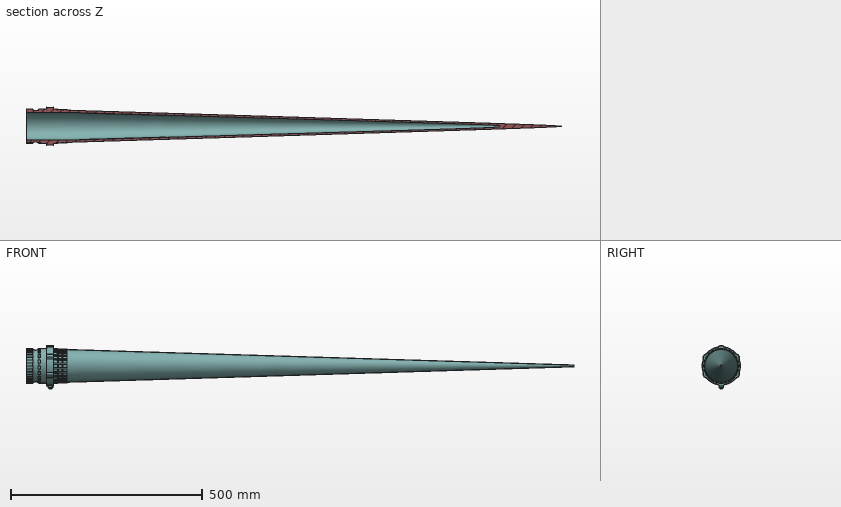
import cadquery as cq
import math


length = 1434.0
socket_radius = 36.0
socket_depth = 109.0
bore_end = 1362.0
cone_start_radius = 43.0
tip_radius = 5.0 / 2

collar_radius = 92.0 / 2
crown_length = 16.0
groove_end = 33.0
groove_floor_radius = 42.0
flute_count = 18
flute_length = 37.0
flute_floor_radius = 43.7

nut_start = 53.0
nut_end = 72.0
nut_radius = 50.0
lug_count = 6
lug_radius = 53.0
lug_base_width = 22.0
lug_top_width = 7.0
lug_root_radius = 47.0
button_radius = 6.5
button_taper = 5.0
button_reach = 60.0
button_x = 63.0

tooth_radius = 89.0 / 2
tooth_count = 24
tooth_sweep = 10.0
tooth_ring_count = 3
tooth_ring_gap = 3.0
tooth_ring_pitch = (socket_depth - nut_end) / tooth_ring_count


def point_on_circle(radius, angle):
    """Point in the YZ plane; the angle is in degrees from +Y towards +Z."""
    turn = math.radians(angle)
    return radius * math.cos(turn), radius * math.sin(turn)


def ring_sector(start, end, inner_radius, outer_radius, middle_angle, sweep):
    """Block between two radii and two X positions, filling `sweep` degrees around the X axis."""
    first = middle_angle - sweep / 2
    last = middle_angle + sweep / 2
    return (
        cq.Workplane("YZ", origin=(start, 0, 0))
        .moveTo(*point_on_circle(inner_radius, first))
        .lineTo(*point_on_circle(outer_radius, first))
        .threePointArc(point_on_circle(outer_radius, middle_angle), point_on_circle(outer_radius, last))
        .lineTo(*point_on_circle(inner_radius, last))
        .threePointArc(point_on_circle(inner_radius, middle_angle), point_on_circle(inner_radius, first))
        .close()
        .extrude(end - start)
    )


def make_body():
    """Revolved outline of the crown, collar, nut ring, grip core and taper, with the blind bore."""
    groove_middle = (crown_length + groove_end) / 2
    return (
        cq.Workplane("XZ")
        .moveTo(0, socket_radius)
        .lineTo(0, collar_radius)
        .lineTo(crown_length, collar_radius)
        .threePointArc((groove_middle, groove_floor_radius), (groove_end, collar_radius))
        .lineTo(nut_start, collar_radius)
        .lineTo(nut_start, nut_radius)
        .lineTo(nut_end, nut_radius)
        .lineTo(nut_end, cone_start_radius)
        .lineTo(socket_depth, cone_start_radius)
        .lineTo(length, tip_radius)
        .lineTo(length, 0)
        .lineTo(bore_end, 0)
        .lineTo(socket_depth, socket_radius)
        .close()
        .revolve(360, (0, 0, 0), (1, 0, 0))
    )


def cut_flutes(body):
    pitch = 360 / flute_count
    flutes = cq.Workplane("YZ")
    for index in range(flute_count):
        angle = (index + 0.25) * pitch
        flutes = flutes.add(
            ring_sector(0, flute_length, flute_floor_radius, nut_radius, angle, pitch / 2)
        )
    return body.cut(flutes.combine())


def add_lugs(body):
    lug = (
        cq.Workplane("YZ", origin=(nut_start, 0, 0))
        .moveTo(-lug_base_width / 2, lug_root_radius)
        .lineTo(lug_base_width / 2, lug_root_radius)
        .lineTo(lug_top_width / 2, lug_radius)
        .lineTo(-lug_top_width / 2, lug_radius)
        .close()
        .extrude(nut_end - nut_start)
    )
    for index in range(lug_count):
        body = body.union(lug.rotate((0, 0, 0), (1, 0, 0), index * 360 / lug_count))
    return body


def add_button(body):
    height = button_reach - lug_root_radius
    button = (
        cq.Workplane("XY", origin=(button_x, 0, -button_reach))
        .circle(button_radius)
        .extrude(height)
        .faces("<Z")
        .chamfer(button_taper)
    )
    return body.union(button)


def add_grip_teeth(body):
    pitch = 360 / tooth_count
    inner_radius = (socket_radius + cone_start_radius) / 2
    teeth = cq.Workplane("YZ")
    for ring in range(tooth_ring_count):
        start = nut_end + ring * tooth_ring_pitch
        end = start + tooth_ring_pitch - tooth_ring_gap
        radius = collar_radius if ring == 0 else tooth_radius
        for index in range(tooth_count):
            teeth = teeth.add(
                ring_sector(start, end, inner_radius, radius, index * pitch, tooth_sweep)
            )
    return body.union(teeth.combine())


result = add_grip_teeth(add_button(add_lugs(cut_flutes(make_body()))))